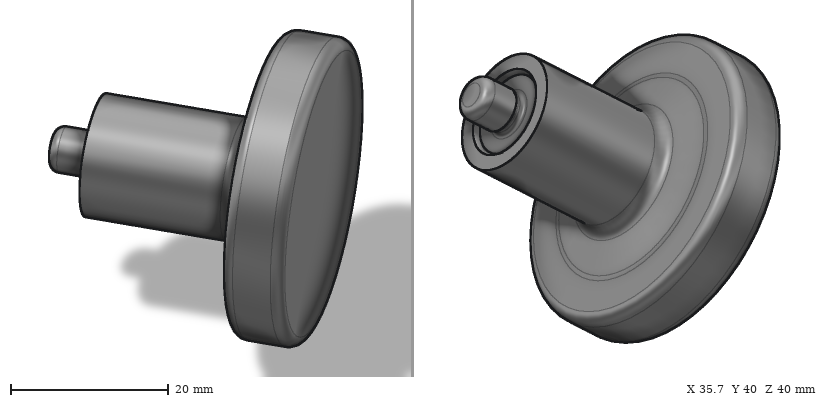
import cadquery as cq
import math

total_length = 35.7
disc_thickness = 8.0
disc_face_x = total_length - disc_thickness
sleeve_face_x = 5.7
socket_depth = 0.75
socket_floor_x = sleeve_face_x + socket_depth
neck_start_x = 5.5

disc_radius = 40.0 / 2
sleeve_radius = 16.0 / 2
pin_radius = 6.0 / 2
neck_radius = 5.5 / 2
socket_mouth_radius = 11.85 / 2
socket_floor_radius = 10.9 / 2
hub_base_radius = 13.9

hub_slope = math.radians(18.5)
hub_height = (hub_base_radius - sleeve_radius) * math.tan(hub_slope)
hub_top_x = disc_face_x - hub_height

rim_fillet = 1.5
hub_fillet = 2.0
pin_tip_fillet = 1.35
neck_fillet = 0.65


def revolve_profile(profile):
    """Turn a closed (axial, radial) outline into a solid around the X axis."""
    return profile.close().revolve(360, (0, 0, 0), (1, 0, 0))


def make_knob():
    """Disc, conical hub and sleeve, with a shallow tapered socket in the sleeve end."""
    sleeve_setback = hub_fillet * math.tan((math.pi / 2 - hub_slope) / 2)
    face_setback = hub_fillet * math.tan(hub_slope / 2)

    def point_on_cone(x, radius, distance):
        """Point at a distance along the cone, outwards from the given corner."""
        return x + distance * math.sin(hub_slope), radius + distance * math.cos(hub_slope)

    profile = (
        cq.Workplane("XY")
        .moveTo(socket_floor_x, 0)
        .lineTo(socket_floor_x, socket_floor_radius)
        .lineTo(sleeve_face_x, socket_mouth_radius)
        .lineTo(sleeve_face_x, sleeve_radius)
        .lineTo(hub_top_x - sleeve_setback, sleeve_radius)
        .tangentArcPoint(point_on_cone(hub_top_x, sleeve_radius, sleeve_setback), relative=False)
        .lineTo(*point_on_cone(disc_face_x, hub_base_radius, -face_setback))
        .tangentArcPoint((disc_face_x, hub_base_radius + face_setback), relative=False)
        .lineTo(disc_face_x, disc_radius - rim_fillet)
        .tangentArcPoint((disc_face_x + rim_fillet, disc_radius), relative=False)
        .lineTo(total_length - rim_fillet, disc_radius)
        .tangentArcPoint((total_length, disc_radius - rim_fillet), relative=False)
        .lineTo(total_length, 0)
    )
    return revolve_profile(profile)


def make_pin():
    """Round-nosed pin with a neck that curves out to the pin body and the socket floor."""
    flare_start_x = socket_floor_x - neck_fillet
    flare_radius = neck_radius + neck_fillet
    neck_step = pin_radius - neck_radius
    step_angle = math.acos(1 - neck_step / neck_fillet)
    pin_body_end_x = neck_start_x - neck_fillet * math.sin(step_angle)
    step_middle = (
        neck_start_x - neck_fillet * math.sin(step_angle / 2),
        flare_radius - neck_fillet * math.cos(step_angle / 2),
    )
    embedded_end_x = socket_floor_x + socket_depth
    profile = (
        cq.Workplane("XY")
        .lineTo(0, pin_radius - pin_tip_fillet)
        .tangentArcPoint((pin_tip_fillet, pin_radius), relative=False)
        .lineTo(pin_body_end_x, pin_radius)
        .threePointArc(step_middle, (neck_start_x, neck_radius))
        .lineTo(flare_start_x, neck_radius)
        .tangentArcPoint((socket_floor_x, flare_radius), relative=False)
        .lineTo(embedded_end_x, flare_radius)
        .lineTo(embedded_end_x, 0)
    )
    return revolve_profile(profile)


result = make_knob().union(make_pin())